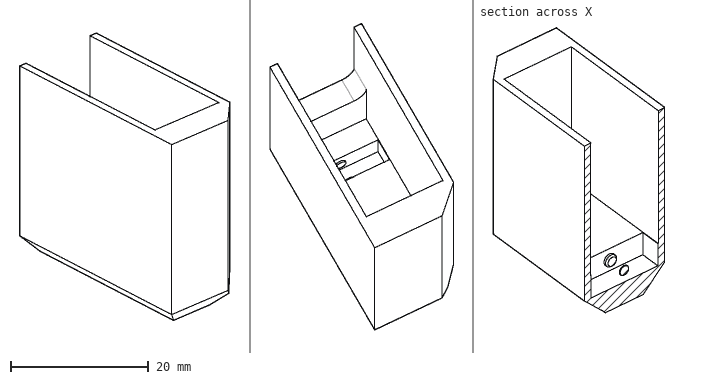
import cadquery as cq

length = 32.8
width = 15.05
height = 32.0
chamfer = 4.0

side_wall = 1.25
notched_wall = 3.85
end_wall = 5.0
pocket_width = width - 2 * side_wall
pocket_length = length - notched_wall - end_wall
pocket_floor = 2 * chamfer

notch_floor = height / 2
notch_corner_radius = 2.0

slot_start = 7.65
slot_length = 3.58
slot_inset = 0.05
slot_width = pocket_width - 2 * slot_inset
slot_floor = chamfer
slot_end = slot_start + slot_length

button_height = (slot_floor + pocket_floor) / 2
small_button_diameter = 1.67
small_button_depth = 0.25
large_button_diameter = 2.05
large_button_depth = 0.35
button_tip_length = 0.25
button_tip_diameter = 1.55


def box_between(x_start, x_size, y_size, z_start, z_end):
    """Box centred on Y = 0, given its X and Z extents."""
    box = cq.Workplane("XY").box(x_size, y_size, z_end - z_start, centered=(False, True, False))
    return box.translate((x_start, 0, z_start))


def make_block():
    """Block with both long bottom edges, the end bottom edge and one upright edge cut at 45 degrees."""
    half_width = width / 2
    end_profile = (
        cq.Workplane("YZ")
        .moveTo(-half_width, height)
        .lineTo(-half_width, chamfer)
        .lineTo(-half_width + chamfer, 0)
        .lineTo(half_width - chamfer, 0)
        .lineTo(half_width, chamfer)
        .lineTo(half_width, height)
        .close()
        .extrude(length)
    )
    side_profile = (
        cq.Workplane("XZ")
        .lineTo(length - chamfer, 0)
        .lineTo(length, chamfer)
        .lineTo(length, height)
        .lineTo(0, height)
        .close()
        .extrude(half_width, both=True)
    )
    plan_profile = (
        cq.Workplane("XY")
        .moveTo(0, -half_width)
        .lineTo(length, -half_width)
        .lineTo(length, half_width - chamfer)
        .lineTo(length - chamfer, half_width)
        .lineTo(0, half_width)
        .close()
        .extrude(height)
    )
    return end_profile.intersect(side_profile).intersect(plan_profile)


def make_notch():
    """Cutter for the notch, with rounded lower corners."""
    notch = box_between(0, notched_wall, pocket_width, notch_floor, height)
    return notch.edges("|X and <Z").fillet(notch_corner_radius)


def make_small_button():
    """Plain round button standing on the slot wall nearer the notch."""
    return (
        cq.Workplane("YZ", origin=(slot_start, 0, button_height))
        .circle(small_button_diameter / 2)
        .extrude(small_button_depth)
    )


def make_large_button():
    """Round button on the opposite slot wall, with a tapered tip."""
    tip_base = slot_end - large_button_depth
    base = (
        cq.Workplane("YZ", origin=(tip_base, 0, button_height))
        .circle(large_button_diameter / 2)
        .extrude(large_button_depth)
    )
    tip = (
        cq.Workplane("YZ", origin=(tip_base, 0, button_height))
        .circle(large_button_diameter / 2)
        .workplane(offset=-button_tip_length)
        .circle(button_tip_diameter / 2)
        .loft()
    )
    return base.union(tip)


pocket = box_between(notched_wall, pocket_length, pocket_width, pocket_floor, height)
slot = box_between(slot_start, slot_length, slot_width, slot_floor, pocket_floor)

result = (
    make_block()
    .cut(pocket)
    .cut(make_notch())
    .cut(slot)
    .union(make_small_button())
    .union(make_large_button())
)